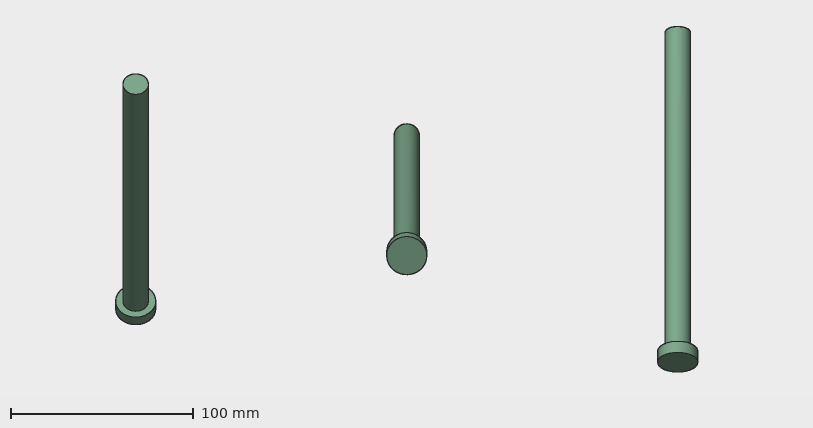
import cadquery as cq

head_diameter = 22.0
head_height = 7.0
shank_diameter = 14.0
shank_length = 200.0

head = cq.Workplane("XY").circle(head_diameter / 2).extrude(head_height)
shank = (
    cq.Workplane("XY")
    .workplane(offset=head_height)
    .circle(shank_diameter / 2)
    .extrude(shank_length)
)

result = head.union(shank)